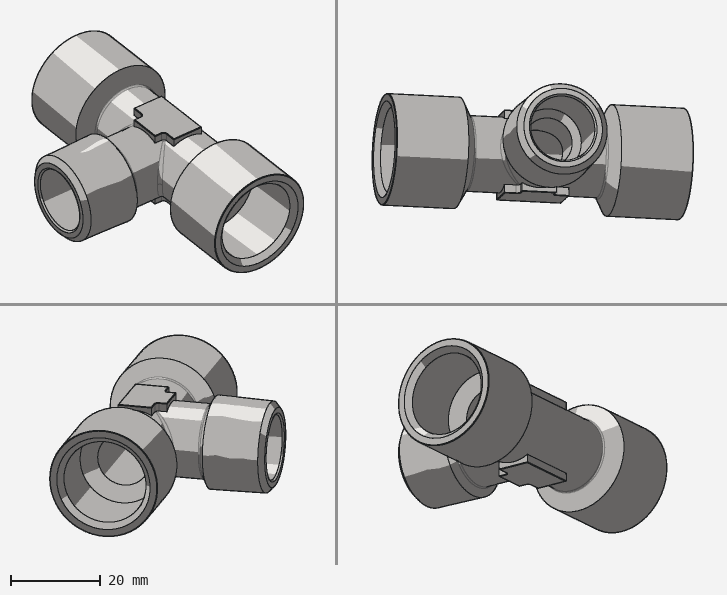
import cadquery as cq
import math


neck_radius = 8.5
shoulder_angle = 30.0
neck_fillet = 0.5

run_half_length = 34.0
socket_radius = 12.5
socket_length = 16.5
socket_edge_chamfer = 0.15
socket_bore_radius = 9.5
socket_bore_depth = 15.0
socket_mouth_radius = 10.8
socket_mouth_depth = 1.3
run_hole_radius = 6.0

branch_length = 30.5
spigot_length = 14.0
spigot_root_radius = 10.6
spigot_tip_radius = 10.35
spigot_face_radius = 9.0
spigot_chamfer_length = 1.25
spigot_bore_radius = 7.35
spigot_bore_depth = 14.0
spigot_mouth_chamfer = 0.4
branch_hole_radius = 5.5

drill_point_angle = 118.0

pad_height = 9.5
pad_half_length = 7.4
pad_half_width = 3.9
pad_stem_reach = 6.5
pad_edge_chamfer = 0.15

crossing_fillet = 0.8

tolerance = 0.01


def shoulder_length(outer_radius):
    """Axial length of the cone from the neck up to outer_radius."""
    return (outer_radius - neck_radius) * math.tan(math.radians(shoulder_angle))


def drill_point_length(bore_radius, hole_radius):
    """Axial length of the cone between a bore and the smaller hole behind it."""
    return (bore_radius - hole_radius) / math.tan(math.radians(drill_point_angle / 2))


def revolve_along_x(profile):
    """Turn (axial position, radius) points, closed along the axis, about +X."""
    start, end = profile[0][0], profile[-1][0]
    points = [(start, 0)] + profile + [(end, 0)]
    return cq.Workplane("XY").polyline(points).close().revolve(360, (0, 0, 0), (1, 0, 0))


def fillet_neck(body, shoulder_foot):
    """Round the inside corner where the neck meets the shoulder cone."""
    corner = cq.selectors.BoxSelector(
        (shoulder_foot - tolerance, -socket_radius, -socket_radius),
        (shoulder_foot + tolerance, socket_radius, socket_radius),
    )
    return body.edges(corner).fillet(neck_fillet)


def make_socket_arm():
    """Outside of one half of the run, along +X."""
    socket_start = run_half_length - socket_length
    shoulder_foot = socket_start - shoulder_length(socket_radius)
    arm = revolve_along_x([
        (0, neck_radius),
        (shoulder_foot, neck_radius),
        (socket_start, socket_radius),
        (run_half_length - socket_edge_chamfer, socket_radius),
        (run_half_length, socket_radius - socket_edge_chamfer),
    ])
    return fillet_neck(arm, shoulder_foot)


def make_socket_bore():
    """Inside of one half of the run, along +X."""
    bore_end = run_half_length - socket_bore_depth
    point_end = bore_end - drill_point_length(socket_bore_radius, run_hole_radius)
    return revolve_along_x([
        (0, run_hole_radius),
        (point_end, run_hole_radius),
        (bore_end, socket_bore_radius),
        (run_half_length - socket_mouth_depth, socket_bore_radius),
        (run_half_length, socket_mouth_radius),
    ])


def make_spigot_arm():
    """Outside of the branch, along +X."""
    spigot_start = branch_length - spigot_length
    shoulder_foot = spigot_start - shoulder_length(spigot_root_radius)
    arm = revolve_along_x([
        (0, neck_radius),
        (shoulder_foot, neck_radius),
        (spigot_start, spigot_root_radius),
        (branch_length - spigot_chamfer_length, spigot_tip_radius),
        (branch_length, spigot_face_radius),
    ])
    return fillet_neck(arm, shoulder_foot)


def make_spigot_bore():
    """Inside of the branch, along +X."""
    bore_end = branch_length - spigot_bore_depth
    point_end = bore_end - drill_point_length(spigot_bore_radius, branch_hole_radius)
    return revolve_along_x([
        (0, branch_hole_radius),
        (point_end, branch_hole_radius),
        (bore_end, spigot_bore_radius),
        (branch_length - spigot_mouth_chamfer, spigot_bore_radius),
        (branch_length, spigot_bore_radius + spigot_mouth_chamfer),
    ])


def make_pads():
    """T-shaped block whose two ends stand out as flat pads above and below the necks."""
    bar = cq.Workplane("XY").box(2 * pad_half_length, 2 * pad_half_width, 2 * pad_height)
    stem = (
        cq.Workplane("XY")
        .box(2 * pad_half_width, pad_stem_reach, 2 * pad_height)
        .translate((0, -pad_stem_reach / 2, 0))
    )
    return bar.union(stem)


def both_ways(half):
    """Join a half run with its mirror image across the YZ plane."""
    return half.union(half.mirror("YZ"))


def toward_branch(body):
    """Turn a body lying along +X so that it points along -Y."""
    return body.rotate((0, 0, 0), (0, 0, 1), -90)


def fillet_crossing(body):
    """Round the inside corners between run, branch and pads; they lie in the planes y = x and y = -x."""
    corners = []
    for edge in body.edges().vals():
        on_miter = all(
            edge.positionAt(t).y < 0
            and abs(abs(edge.positionAt(t).x) + edge.positionAt(t).y) < tolerance
            for t in (0, 0.5, 1)
        )
        if on_miter:
            corners.append(edge)
    return body.newObject(corners).fillet(crossing_fillet)


def chamfer_pads(body):
    """Break the rim of both pad faces."""
    pad_faces = [
        face
        for face in body.faces("|Z").vals()
        if abs(abs(face.Center().z) - pad_height) < tolerance
    ]
    return body.newObject(pad_faces).edges().chamfer(pad_edge_chamfer)


outside = both_ways(make_socket_arm()).union(toward_branch(make_spigot_arm())).union(make_pads())
inside = both_ways(make_socket_bore()).union(toward_branch(make_spigot_bore()))

result = chamfer_pads(fillet_crossing(outside)).cut(inside)